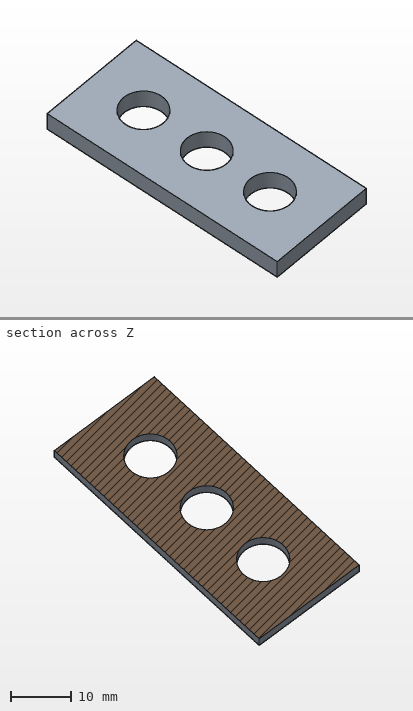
import cadquery as cq

length = 50.8
width = 22.25
thickness = 3.75

hole_diameter = 8.75
hole_pitch = 13.95
hole_count = 3

plate = cq.Workplane("XY").box(length, width, thickness, centered=(True, True, False))

result = (
    plate.faces(">Z")
    .workplane()
    .rarray(hole_pitch, width, hole_count, 1)
    .hole(hole_diameter)
)